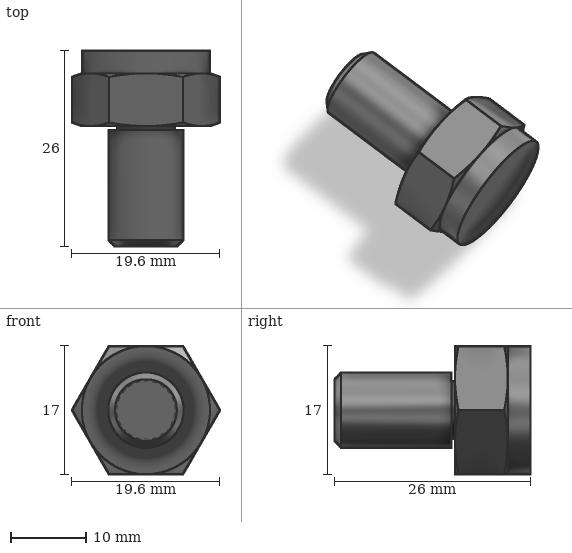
import cadquery as cq
import math

total_length = 26.0
head_length = 10.0
collar_length = 3.02
across_flats = 17.0
shank_diameter = 10.0
tip_chamfer = 0.9
neck_diameter = 7.7
neck_length = 0.5
corner_chamfer_depth = 0.47

across_corners = across_flats / math.cos(math.radians(30))
hex_length = head_length - collar_length
shank_length = total_length - head_length - neck_length


def cylinder(diameter, start_y, length):
    """Solid cylinder about Y, from start_y towards +Y."""
    plane = cq.Workplane("XZ", origin=(0, start_y, 0))
    return plane.circle(diameter / 2).extrude(-length)


def chamfered_hex():
    """Hexagon with its seat at y = 0 and conically trimmed corners at both ends."""
    prism = cq.Workplane("XZ").polygon(6, across_corners).extrude(-hex_length)
    flat_radius = across_flats / 2
    corner_radius = across_corners / 2
    trim_profile = [
        (0, 0),
        (flat_radius, 0),
        (corner_radius, corner_chamfer_depth),
        (corner_radius, hex_length - corner_chamfer_depth),
        (flat_radius, hex_length),
        (0, hex_length),
    ]
    trim = cq.Workplane("XY").polyline(trim_profile).close().revolve(360, (0, 0, 0), (0, 1, 0))
    return prism.intersect(trim)


collar = cylinder(across_flats, hex_length, collar_length)
neck = cylinder(neck_diameter, -neck_length, neck_length)
shank = cylinder(shank_diameter, -neck_length - shank_length, shank_length)
shank = shank.faces("<Y").chamfer(tip_chamfer)

result = chamfered_hex().union(collar).union(neck).union(shank)